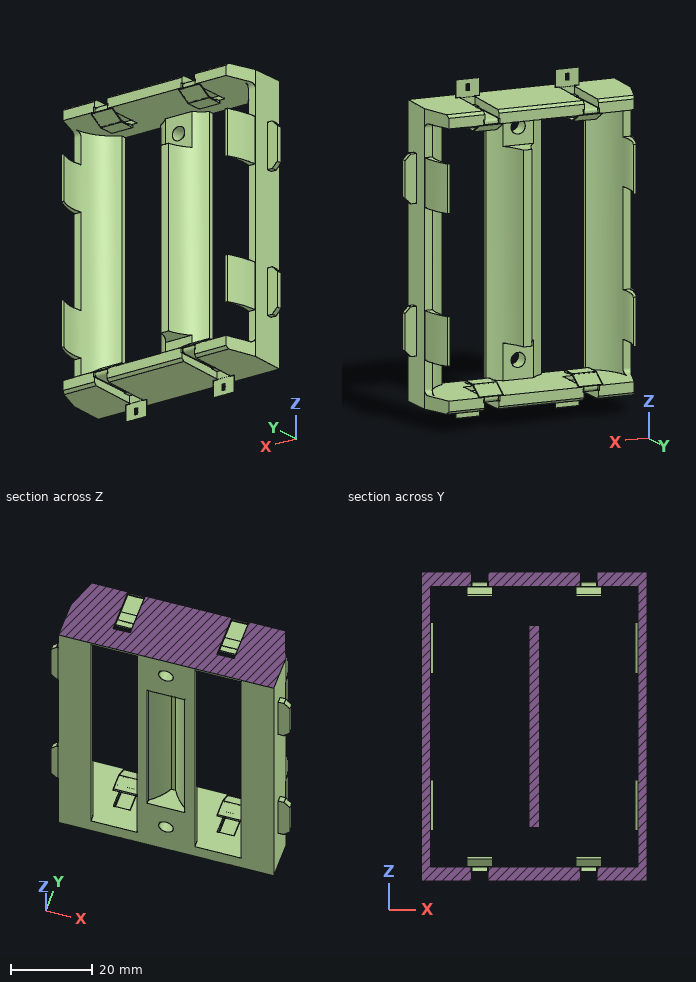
import cadquery as cq
import math


frame_width = 55.9
frame_length = 76.7
frame_height = 18.4
rail_height = 10.0
cavity_length = 69.0
end_draft_angle = 1.0
end_chamfer = 0.8
end_fillet = 1.5
end_top_width = 50.2

cell_pitch = 26.9
window_width = 11.95
floor_thickness = 1.6
trough_radius = 12.6
trough_center_y = floor_thickness + math.sqrt(trough_radius**2 - (window_width / 2) ** 2)

recess_width = 9.7
recess_length = 44.3
recess_crest_width = 1.1
recess_wall = 1.9
ridge_end_wall = 2.8
web_height = 4.3

mount_hole_diameter = 3.8
mount_hole_spacing = 59.2

clip_length = 12.6
clip_spacing = 38.8
clip_root_y = 8.6
clip_root_x = 27.85
clip_middle = (27.0, 14.7)
clip_tip_x = 25.5
wing_span = 62.0
wing_bottom = 3.5
wing_thickness = 1.55
wing_chamfer = 1.55

overall_length = 85.95
sheet = 0.3
contact_width = 6.45
strap_width = 3.9
tab_y = 3.7
tab_root_z = 38.4
slot_floor_z = 36.3
slot_opening_y = 6.2
slot_opening_width = 4.3
tab_hole_width = 0.9
tab_hole_length = 1.6
tab_hole_inset = 2.15
strap_z = 35.8
upper_bend_radius = 0.8
strap_top_y = 18.0
spring_knee_y = 14.0
spring_z = 32.15
spring_end_y = 9.45
hem_length = 1.6
hem_thickness = 0.6

half_width = frame_width / 2
half_length = frame_length / 2
half_cavity = cavity_length / 2
cell_centers = (-cell_pitch / 2, cell_pitch / 2)


def block(x_size, y_range, z_range, x_center=0.0):
    """Box centered on x_center that spans the given Y and Z ranges."""
    size = (x_size, y_range[1] - y_range[0], z_range[1] - z_range[0])
    corner = (x_center - x_size / 2, y_range[0], z_range[0])
    return cq.Workplane("XY").box(*size, centered=False).translate(corner)


def both_ends(shape):
    """The shape together with its mirror image at the other Z end."""
    return shape.union(shape.mirror("XY"))


def both_sides(shape):
    """The shape together with its mirror image on the other X side."""
    return shape.union(shape.mirror("YZ"))


def make_frame():
    """U-shaped frame with drafted, chamfered end walls that narrow above the rails."""
    chamfer_y = frame_height - end_chamfer
    end_z = half_length - chamfer_y * math.tan(math.radians(end_draft_angle))
    side_view = [
        (0, half_length),
        (chamfer_y, end_z),
        (frame_height, end_z - end_chamfer),
        (frame_height, half_cavity),
        (rail_height, half_cavity),
    ]
    outline = side_view + [(y, -z) for y, z in reversed(side_view)]
    frame = cq.Workplane("YZ").polyline(outline).close().extrude(half_width, both=True)
    inner_corners = cq.selectors.BoxSelector(
        (-0.9, rail_height - 0.9, -half_cavity - 0.9), (0.9, rail_height + 0.9, half_cavity + 0.9)
    )
    frame = frame.edges("|X").edges(inner_corners).fillet(end_fillet)

    half_top = end_top_width / 2
    end_view = [
        (-half_width, 0),
        (half_width, 0),
        (half_width, rail_height),
        (half_top, frame_height),
        (-half_top, frame_height),
        (-half_width, rail_height),
    ]
    envelope = cq.Workplane("XY").polyline(end_view).close().extrude(half_length, both=True)
    return frame.intersect(envelope)


def trough_cut(x_center):
    """Cylindrical cell seat with the straight window through its floor."""
    seat = (
        cq.Workplane("XY")
        .center(x_center, trough_center_y)
        .circle(trough_radius)
        .extrude(half_cavity, both=True)
    )
    window = block(window_width, (0, trough_center_y), (-half_cavity, half_cavity), x_center)
    return seat.union(window)


def recess_cut():
    """Recess below the center ridge, its roof running parallel to both troughs."""
    roof_radius = trough_radius + recess_wall
    crest_offset = cell_pitch / 2 - recess_crest_width / 2
    crest_y = trough_center_y - math.sqrt(roof_radius**2 - crest_offset**2)
    recess = block(recess_width, (0, crest_y), (-recess_length / 2, recess_length / 2))
    for x in cell_centers:
        roof = (
            cq.Workplane("XY")
            .center(x, trough_center_y)
            .circle(roof_radius)
            .extrude(recess_length, both=True)
        )
        recess = recess.cut(roof)
    return recess


def ridge_end_cut():
    """Space at the +Z end where the center ridge drops to a lower web."""
    ridge_end_z = recess_length / 2 + ridge_end_wall
    return block(cell_pitch, (web_height, rail_height + end_fillet), (ridge_end_z, half_cavity))


def mount_holes_cut():
    """Two holes along Y through the low webs beyond the ridge."""
    return (
        cq.Workplane("XZ")
        .pushPoints([(0, -mount_hole_spacing / 2), (0, mount_hole_spacing / 2)])
        .circle(mount_hole_diameter / 2)
        .extrude(-frame_height)
    )


def strap_slot_cut(x_center):
    """Slot in an end wall for the contact strap, open through the wall above its lower end."""
    outer_slot = block(strap_width, (tab_y, frame_height), (slot_floor_z, half_length), x_center)
    opening_heights = (slot_opening_y, frame_height)
    through_slot = block(strap_width, opening_heights, (half_cavity, half_length), x_center)
    inner_opening = block(slot_opening_width, opening_heights, (half_cavity, strap_z), x_center)
    return outer_slot.union(through_slot).union(inner_opening)


def make_clip():
    """Retaining clip rising from the +X rail, its inner face continuing the trough."""
    clip = (
        cq.Workplane("XY")
        .moveTo(clip_root_x, clip_root_y)
        .threePointArc(clip_middle, (clip_tip_x, frame_height))
        .lineTo(cell_pitch / 2, frame_height)
        .lineTo(cell_pitch / 2, clip_root_y)
        .close()
        .extrude(clip_length / 2, both=True)
    )
    return clip.cut(trough_cut(cell_pitch / 2))


def make_wing():
    """Flat wing on the +X side with chamfered outer corners."""
    wing_reach = wing_span / 2 - half_width
    return (
        cq.Workplane("XY")
        .box(wing_reach, wing_thickness, clip_length, centered=(False, False, True))
        .edges("|Y and >X")
        .chamfer(wing_chamfer)
        .translate((half_width, wing_bottom, 0))
    )


def make_contact(x_center):
    """Sheet contact at the +Z end: solder tab, strap in the wall slot and inner spring."""
    diagonal = math.sqrt(0.5)
    top_bend_y = strap_top_y - upper_bend_radius
    top_bend_z = strap_z - upper_bend_radius
    plane = cq.Workplane("YZ", origin=(x_center, 0, 0))

    strap_path = (
        plane.moveTo(tab_y, tab_root_z)
        .lineTo(tab_y, strap_z)
        .lineTo(top_bend_y, strap_z)
        .threePointArc(
            (top_bend_y + upper_bend_radius * diagonal, top_bend_z + upper_bend_radius * diagonal),
            (strap_top_y, top_bend_z),
        )
        .lineTo(strap_top_y, half_cavity)
    )
    strap = (
        cq.Workplane("XY", origin=(x_center, tab_y, tab_root_z))
        .rect(strap_width, sheet)
        .sweep(strap_path, transition="right")
    )

    spring_path = (
        plane.moveTo(spring_end_y, spring_z)
        .lineTo(spring_knee_y, spring_z)
        .lineTo(strap_top_y, half_cavity)
    )
    spring = (
        cq.Workplane("XZ", origin=(x_center, spring_end_y, spring_z))
        .rect(contact_width, sheet)
        .sweep(spring_path, transition="right")
    )
    hem_z = spring_z - sheet / 2
    hem = block(
        contact_width,
        (spring_end_y, spring_end_y + hem_length),
        (hem_z, hem_z + hem_thickness),
        x_center,
    )

    tab_end_z = overall_length / 2
    tab_faces = (tab_y - sheet / 2, tab_y + sheet / 2)
    tab = block(contact_width, tab_faces, (tab_root_z, tab_end_z), x_center)
    hole_z = tab_end_z - tab_hole_inset
    hole_range = (hole_z - tab_hole_length / 2, hole_z + tab_hole_length / 2)
    tab = tab.cut(block(tab_hole_width, tab_faces, hole_range, x_center))
    return strap.union(spring).union(hem).union(tab)


result = make_frame()
for cell_x in cell_centers:
    result = result.cut(trough_cut(cell_x))
    result = result.cut(both_ends(strap_slot_cut(cell_x)))
result = result.cut(both_ends(ridge_end_cut()))
result = result.cut(recess_cut()).cut(mount_holes_cut())

side_hardware = make_clip().union(make_wing()).translate((0, 0, clip_spacing / 2))
result = result.union(both_ends(both_sides(side_hardware)))
for cell_x in cell_centers:
    result = result.union(both_ends(make_contact(cell_x)))